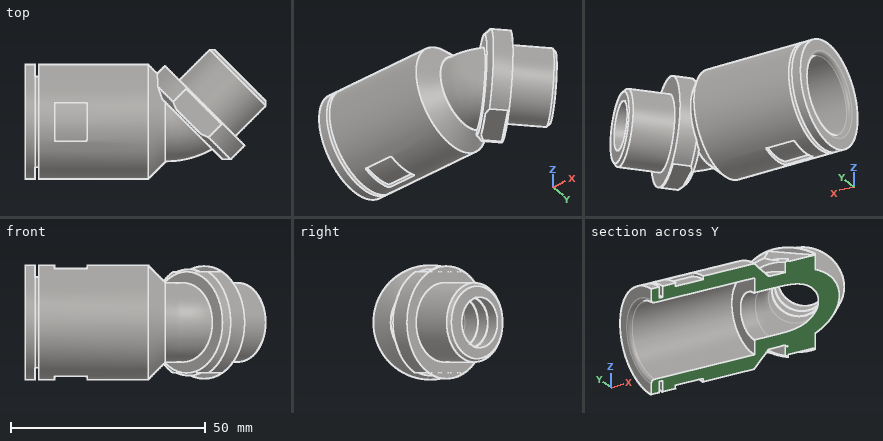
import cadquery as cq
import math

sleeve_d = 29.5
cone_start = 31.6
neck_start = 36.05
groove_d = 23.4
groove_start = 2.55
groove_width = 0.9
socket_d = 21.2
socket_lip = 1.05
socket_depth = 31.6

pocket_start = 7.55
pocket_length = 8.35
pocket_width = 9.9
pocket_depth = 0.9
pocket_corner = 0.3

neck_d = 20.4
bore_d = 13.0
bend_angle = 45
bend_radius = 14.3

nut_d = 29.0
nut_thickness = 6.55
nut_chamfer = 1.5
nut_rim = 0.3
nut_ledge = 0.7
nut_flat_gap = 25.95

spigot_d = 20.4
spigot_length = 11.95
spigot_chamfer = 0.85
spigot_offset = 0.9

relief_d = 13.25
relief_start = 4.75
relief_length = 3.6

angle = math.radians(bend_angle)
bend_end = (
    neck_start + bend_radius * math.sin(angle),
    bend_radius * (1 - math.cos(angle)),
    0,
)
outlet = cq.Plane(
    origin=bend_end,
    xDir=(math.sin(angle), -math.cos(angle), 0),
    normal=(math.cos(angle), math.sin(angle), 0),
)


def x_cylinder(diameter, start, length):
    """Cylinder along the sleeve axis."""
    return cq.Workplane("YZ", origin=(start, 0, 0)).circle(diameter / 2).extrude(length)


def bend(diameter):
    """Round bar following the neck centreline."""
    return (
        cq.Workplane("YZ", origin=(neck_start, 0, 0))
        .circle(diameter / 2)
        .revolve(bend_angle, (bend_radius, -0.6, 0), (bend_radius, 0.6, 0))
    )


def make_sleeve():
    cone_length = neck_start - cone_start
    sleeve = x_cylinder(sleeve_d, 0, neck_start).faces(">X").chamfer(cone_length)
    groove = x_cylinder(sleeve_d, groove_start, groove_width).cut(
        x_cylinder(groove_d, groove_start, groove_width)
    )
    sleeve = sleeve.cut(groove)
    pocket = (
        cq.Workplane("XY")
        .box(pocket_length, pocket_width, sleeve_d)
        .edges("|Z")
        .fillet(pocket_corner)
        .translate((pocket_start + pocket_length / 2, 0, 0))
        .cut(x_cylinder(sleeve_d - 2 * pocket_depth, 0, neck_start))
    )
    return sleeve.cut(pocket)


def make_nut():
    nut = cq.Workplane(outlet).circle(nut_d / 2).extrude(-nut_thickness)
    nut = nut.faces("<(1, 1, 0)").chamfer(nut_chamfer)
    flat_length = nut_thickness - nut_rim - nut_ledge
    for side in (1, -1):
        cutter = (
            cq.Workplane(outlet)
            .workplane(offset=-nut_rim)
            .center(0, side * (nut_flat_gap + nut_d) / 2)
            .rect(nut_d, nut_d)
            .extrude(-flat_length)
        )
        nut = nut.cut(cutter)
    return nut


def make_spigot():
    return (
        cq.Workplane(outlet)
        .center(spigot_offset, 0)
        .circle(spigot_d / 2)
        .extrude(spigot_length)
        .faces(">(1, 1, 0)")
        .chamfer(spigot_chamfer)
    )


def outlet_cylinder(diameter, start, length):
    """Cylinder on the nut axis, measured from the outlet plane."""
    return cq.Workplane(outlet).workplane(offset=start).circle(diameter / 2).extrude(length)


def make_socket():
    """Socket bore with a rounded, flared mouth."""
    radius = socket_d / 2
    return (
        cq.Workplane("XY")
        .moveTo(0, 0)
        .lineTo(0, radius + socket_lip)
        .radiusArc((socket_lip, radius), -socket_lip)
        .lineTo(socket_depth, radius)
        .lineTo(socket_depth, 0)
        .close()
        .revolve(360, (0, 0, 0), (1, 0, 0))
    )


body = make_sleeve().union(bend(neck_d)).union(make_nut()).union(make_spigot())

body = body.cut(make_socket())
body = body.cut(x_cylinder(bore_d, socket_depth, neck_start - socket_depth))
body = body.cut(bend(bore_d))
body = body.cut(outlet_cylinder(bore_d, 0, spigot_length))
result = body.cut(outlet_cylinder(relief_d, relief_start, relief_length))